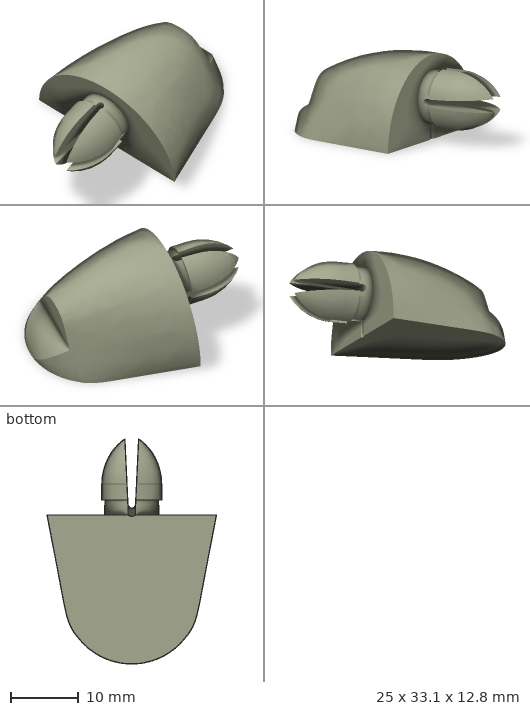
import cadquery as cq
import math

notch_wall_y = 17.95

body_length = 21.97
base_half_width = 12.5
nose_radius = 10.0
nose_center_y = body_length - nose_radius
crown_height = 12.83
crown_y = 2.5
crown_radius = 31.48
nose_tip_gap = 0.01
nose_tip_height = 2.0
flank_pinch = 0.26

notch_floor_height = 4.28
notch_floor_mid = (20.45, 2.52)
notch_corner_radius = 0.33

peg_z = 6.4
neck_radius = 4.0
barb_radius = 4.47
neck_length = 2.15
barb_end = 4.5
peg_length = 11.17
peg_tip_radius = 1.4
peg_overlap = 0.33

slot_radius = 0.547
slot_start = 1.0
slot_tip_half_width = 1.0
groove_depth = 0.23

cut_margin = 1.65


def half_width(y):
    """Half width of the base: straight flanks tangent to a round nose."""
    reach = math.hypot(nose_center_y, base_half_width)
    tangent_angle = math.acos(nose_radius / reach) - math.atan2(nose_center_y, base_half_width)
    tangent_y = nose_center_y + nose_radius * math.sin(tangent_angle)
    if y < tangent_y:
        return base_half_width - y * math.tan(tangent_angle)
    return math.sqrt(nose_radius**2 - (y - nose_center_y) ** 2)


def crown(y):
    """Height of the body on its centre plane."""
    def arc(at):
        drop = crown_radius - math.sqrt(crown_radius**2 - (at - crown_y) ** 2)
        return crown_height - drop

    if y <= notch_wall_y:
        return arc(y)
    along = (y - notch_wall_y) / (body_length - notch_wall_y)
    return nose_tip_height + (arc(notch_wall_y) - nose_tip_height) * math.sqrt(1 - along**2)


def section(y):
    """Half-oval cross section whose flanks are pinched in toward the nose."""
    pinch = flank_pinch * min(1, y / notch_wall_y) ** 2
    points = []
    steps = 12
    for i in range(steps + 1):
        angle = math.pi * i / steps
        narrowing = 1 - pinch * abs(math.sin(2 * angle))
        points.append((half_width(y) * math.cos(angle) * narrowing, crown(y) * math.sin(angle)))
    plane = cq.Plane(origin=(0, y, 0), xDir=(1, 0, 0), normal=(0, -1, 0))
    wire = cq.Workplane(plane).moveTo(*points[0]).spline(points[1:], includeCurrent=True).close()
    return wire.val()


def make_body():
    """Main shell and nose, lofted separately and joined at the notch wall."""
    main_steps = 5
    main_stations = [notch_wall_y * i / main_steps for i in range(main_steps + 1)]
    nose_steps = 5
    nose_length = body_length - nose_tip_gap - notch_wall_y
    nose_stations = [
        notch_wall_y + nose_length * math.sin(math.pi / 2 * i / nose_steps) for i in range(nose_steps + 1)
    ]
    main = cq.Solid.makeLoft([section(y) for y in main_stations])
    nose = cq.Solid.makeLoft([section(y) for y in nose_stations])
    return cq.Workplane(main).union(cq.Workplane(nose))


def make_notch():
    front = body_length + cut_margin
    top = crown_height + cut_margin
    return (
        cq.Workplane("YZ")
        .moveTo(notch_wall_y, notch_floor_height)
        .threePointArc(notch_floor_mid, (body_length, 0))
        .lineTo(front, 0)
        .lineTo(front, top)
        .lineTo(notch_wall_y, top)
        .close()
        .extrude(base_half_width, both=True)
        .edges(cq.selectors.NearestToPointSelector((0, notch_wall_y, notch_floor_height)))
        .fillet(notch_corner_radius)
    )


def make_peg():
    nose_length = peg_length - barb_end
    drop = barb_radius - peg_tip_radius
    arc_radius = (nose_length**2 + drop**2) / (2 * drop)
    mid_y = barb_end + nose_length / 2
    mid_radius = barb_radius - arc_radius + math.sqrt(arc_radius**2 - (nose_length / 2) ** 2)
    return (
        cq.Workplane("XY")
        .moveTo(0, peg_overlap)
        .lineTo(neck_radius, peg_overlap)
        .lineTo(neck_radius, -neck_length)
        .lineTo(barb_radius, -neck_length)
        .lineTo(barb_radius, -barb_end)
        .threePointArc((mid_radius, -mid_y), (peg_tip_radius, -peg_length))
        .lineTo(0, -peg_length)
        .close()
        .revolve(360, (0, 0, 0), (0, 1, 0))
        .translate((0, 0, peg_z))
    )


def make_slot():
    round_y = -slot_start - slot_radius
    return (
        cq.Workplane("XY")
        .moveTo(slot_radius, round_y)
        .threePointArc((0, -slot_start), (-slot_radius, round_y))
        .lineTo(-slot_tip_half_width, -peg_length)
        .lineTo(slot_tip_half_width, -peg_length)
        .close()
        .extrude(barb_radius + cut_margin, both=True)
    )


def make_groove():
    """Shallow round-bottomed groove down the mounting face, opening the lower slot to the base."""
    mouth_y = -slot_start - slot_radius
    return (
        cq.Workplane("XY")
        .moveTo(-slot_radius, mouth_y)
        .lineTo(-slot_radius, 0)
        .threePointArc((0, groove_depth), (slot_radius, 0))
        .lineTo(slot_radius, mouth_y)
        .close()
        .extrude(peg_z)
    )


slot = make_slot()
cross_slot = slot.rotate((0, 0, 0), (0, 1, 0), 90)
result = make_body().cut(make_notch()).union(make_peg())
for cutter in (slot, cross_slot):
    result = result.cut(cutter.translate((0, 0, peg_z)))
result = result.cut(make_groove())